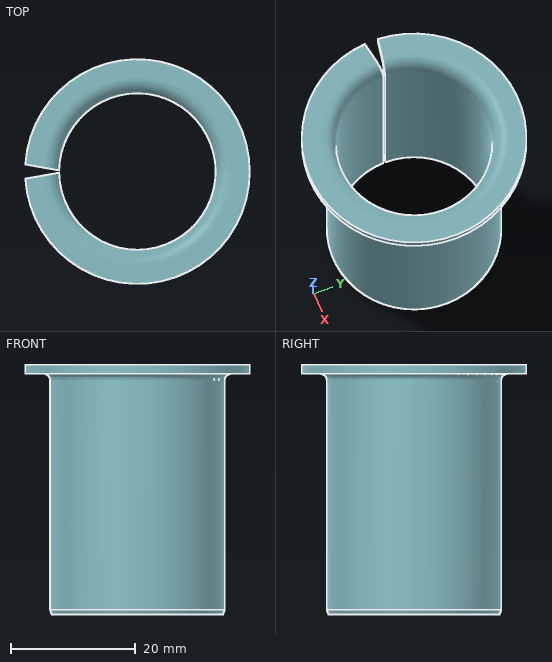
import cadquery as cq
import math

height = 40.0
outer_radius = 14.0
bore_diameter = 25.0
flange_radius = 18.0
neck_radius = 1.0
lead_in_height = 0.75
lead_in_angle = 20.0
slit_half_width = 0.15
slit_half_angle = 10.0

bore_radius = bore_diameter / 2
wall = outer_radius - bore_radius
mouth_radius = neck_radius + wall
bend_center_r = outer_radius + neck_radius
bend_center_z = height - mouth_radius
lead_in_depth = lead_in_height * math.tan(math.radians(lead_in_angle))


def bend_midpoint(radius):
    """Middle point of a quarter arc about the shared bend center."""
    offset = radius * math.sqrt(0.5)
    return (bend_center_r - offset, bend_center_z + offset)


def flanged_sleeve():
    """Revolve the constant-thickness wall: sleeve, bend and flange."""
    return (
        cq.Workplane("XZ")
        .moveTo(bore_radius, 0)
        .lineTo(outer_radius - lead_in_depth, 0)
        .lineTo(outer_radius, lead_in_height)
        .lineTo(outer_radius, bend_center_z)
        .threePointArc(bend_midpoint(neck_radius), (bend_center_r, height - wall))
        .lineTo(flange_radius, height - wall)
        .lineTo(flange_radius, height)
        .lineTo(bend_center_r, height)
        .threePointArc(bend_midpoint(mouth_radius), (bore_radius, bend_center_z))
        .close()
        .revolve(360, (0, 0, 0), (0, 1, 0))
    )


def slit_cutter():
    """Full-height wedge on the -X side, widening outward from the bore."""
    inner_x = bore_radius - wall / 4
    outer_x = flange_radius + wall
    slope = math.tan(math.radians(slit_half_angle))
    inner_half = slit_half_width + (inner_x - bore_radius) * slope
    outer_half = slit_half_width + (outer_x - bore_radius) * slope
    return (
        cq.Workplane("XY")
        .polyline([
            (-inner_x, -inner_half),
            (-outer_x, -outer_half),
            (-outer_x, outer_half),
            (-inner_x, inner_half),
        ])
        .close()
        .extrude(height)
    )


result = flanged_sleeve().cut(slit_cutter())